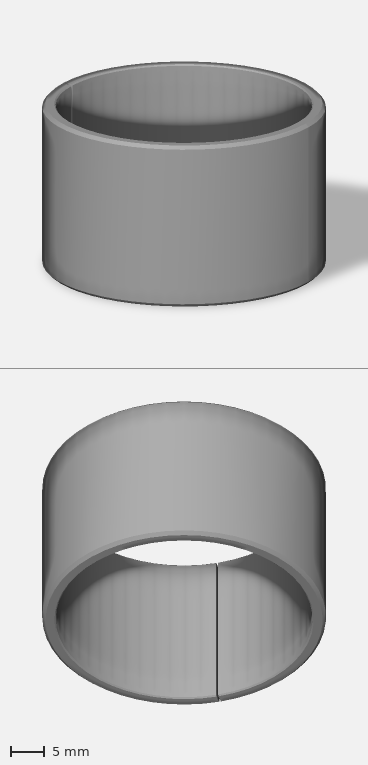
import cadquery as cq
import math


outer_diameter = 42.0
bore_diameter = 38.0
length = 25.0
outer_chamfer = 0.5
bore_chamfer = 0.2
slit_angle = 1.0

outer_radius = outer_diameter / 2
bore_radius = bore_diameter / 2
half_length = length / 2


def make_sleeve():
    """Revolve the chamfered wall section around Z, centred on the origin."""
    wall_section = (
        cq.Workplane("XZ")
        .moveTo(bore_radius, -half_length + bore_chamfer)
        .lineTo(bore_radius + bore_chamfer, -half_length)
        .lineTo(outer_radius - outer_chamfer, -half_length)
        .lineTo(outer_radius, -half_length + outer_chamfer)
        .lineTo(outer_radius, half_length - outer_chamfer)
        .lineTo(outer_radius - outer_chamfer, half_length)
        .lineTo(bore_radius + bore_chamfer, half_length)
        .lineTo(bore_radius, half_length - bore_chamfer)
        .close()
    )
    return wall_section.revolve(360, (0, 0, 0), (0, 1, 0))


def make_slit_cutter():
    """Wedge with its tip on the axis, reaching past the wall on the -X side and past both ends."""
    reach = outer_diameter
    opening = reach * math.tan(math.radians(slit_angle))
    wedge_points = [(0, 0), (-reach, 0), (-reach, opening)]
    return cq.Workplane("XY").polyline(wedge_points).close().extrude(length, both=True)


result = make_sleeve().cut(make_slit_cutter())